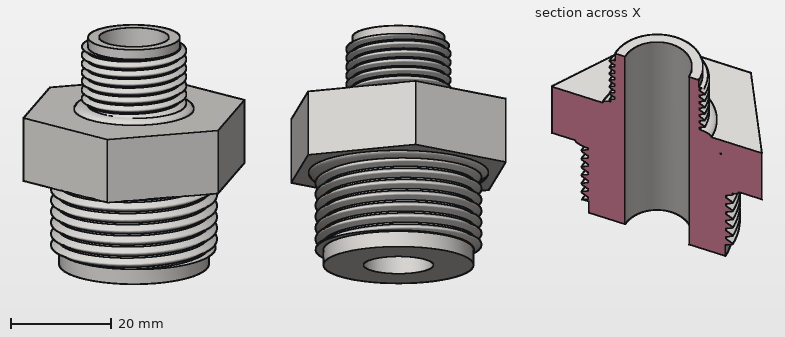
import cadquery as cq
import math

TOTAL_HEIGHT = 47.1
BORE_DIAMETER = 14.0

HEX_ACROSS_FLATS = 40.0
HEX_BOTTOM = 19.1
HEX_TOP = 32.2
HEX_TURN = -0.2

COLLAR_HEIGHT = 1.1
LOWER_COLLAR_DIAMETER = 36.0
UPPER_COLLAR_DIAMETER = 24.0

LOWER_PLAIN_DIAMETER = 30.07
LOWER_PLAIN_LENGTH = 3.15
UPPER_PLAIN_DIAMETER = 18.41
UPPER_PLAIN_LENGTH = 2.0

LOWER_MAJOR_DIAMETER = 33.249
LOWER_PITCH = 2.309
LOWER_CREST_Z = 3.5
UPPER_MAJOR_DIAMETER = 20.955
UPPER_PITCH = 1.814
UPPER_CREST_Z = 33.98

FLANK_ANGLE = math.radians(27.5)
THREAD_DEPTH = 0.640327
CREST_RADIUS = 0.137329

ROOT_OVERLAP = 0.1
RUN_IN = 0.6


def cylinder(diameter, z_low, z_high):
    return cq.Workplane("XY", origin=(0, 0, z_low)).circle(diameter / 2).extrude(z_high - z_low)


def thread_ridge(major_diameter, pitch, start_z, turns):
    """Right-handed ridge with a rounded crest, starting at start_z on the -X side."""
    major_radius = major_diameter / 2
    crest_radius = CREST_RADIUS * pitch
    root_radius = major_radius - THREAD_DEPTH * pitch
    base_radius = root_radius - ROOT_OVERLAP

    tangent_radius = major_radius - crest_radius * (1 - math.sin(FLANK_ANGLE))
    tangent_half_width = crest_radius * math.cos(FLANK_ANGLE)
    base_half_width = tangent_half_width + (tangent_radius - base_radius) * math.tan(FLANK_ANGLE)

    profile = (
        cq.Workplane("XZ")
        .moveTo(base_radius, -base_half_width)
        .lineTo(tangent_radius, -tangent_half_width)
        .threePointArc((major_radius, 0), (tangent_radius, tangent_half_width))
        .lineTo(base_radius, base_half_width)
        .close()
    )
    helix = cq.Workplane(cq.Wire.makeHelix(pitch, turns * pitch, root_radius))
    ridge = profile.sweep(helix, isFrenet=True)
    return ridge.rotate((0, 0, 0), (0, 0, 1), 180).translate((0, 0, start_z))


def threaded_section(major_diameter, pitch, crest_z, z_low, z_high):
    """Thread core with its ridge cut off square at both ends."""
    root_diameter = major_diameter - 2 * THREAD_DEPTH * pitch

    pitches_below = math.ceil((crest_z - z_low) / pitch) + 1
    start_z = crest_z - pitches_below * pitch
    turns = math.ceil((z_high - start_z) / pitch) + 1
    ridge = thread_ridge(major_diameter, pitch, start_z, turns)

    core = cylinder(root_diameter, start_z - pitch, start_z + (turns + 1) * pitch)
    envelope = cylinder(major_diameter + pitch, z_low, z_high)
    return core.union(ridge).intersect(envelope)


def collar(inner_diameter, outer_diameter):
    """Shoulder standing on Z = 0, with a quarter-elliptical flank that narrows upward."""
    inner_radius = inner_diameter / 2
    outer_radius = outer_diameter / 2
    return (
        cq.Workplane("XZ")
        .lineTo(outer_radius, 0)
        .ellipseArc(outer_radius - inner_radius, COLLAR_HEIGHT, 0, 90)
        .lineTo(0, COLLAR_HEIGHT)
        .close()
        .revolve(360, (0, 0, 0), (0, 1, 0))
    )


def hexagon():
    across_corners = HEX_ACROSS_FLATS / math.cos(math.pi / 6)
    prism = (
        cq.Workplane("XY", origin=(0, 0, HEX_BOTTOM))
        .polygon(6, across_corners)
        .extrude(HEX_TOP - HEX_BOTTOM)
    )
    corner_angle = 30 + HEX_TURN
    return prism.rotate((0, 0, 0), (0, 0, 1), corner_angle)


def smooth_body():
    lower_collar = collar(LOWER_PLAIN_DIAMETER, LOWER_COLLAR_DIAMETER).mirror("XY")
    upper_collar = collar(UPPER_PLAIN_DIAMETER, UPPER_COLLAR_DIAMETER)
    return (
        hexagon()
        .union(lower_collar.translate((0, 0, HEX_BOTTOM)))
        .union(upper_collar.translate((0, 0, HEX_TOP)))
        .union(cylinder(LOWER_PLAIN_DIAMETER, 0, HEX_BOTTOM))
        .union(cylinder(UPPER_PLAIN_DIAMETER, HEX_TOP, TOTAL_HEIGHT))
    )


def lower_thread():
    return threaded_section(
        LOWER_MAJOR_DIAMETER, LOWER_PITCH, LOWER_CREST_Z, LOWER_PLAIN_LENGTH, HEX_BOTTOM + RUN_IN
    )


def upper_thread():
    thread_end = TOTAL_HEIGHT - UPPER_PLAIN_LENGTH
    return threaded_section(
        UPPER_MAJOR_DIAMETER, UPPER_PITCH, UPPER_CREST_Z, HEX_TOP - RUN_IN, thread_end
    )


bore = cylinder(BORE_DIAMETER, 0, TOTAL_HEIGHT)
result = smooth_body().union(lower_thread()).union(upper_thread()).cut(bore)